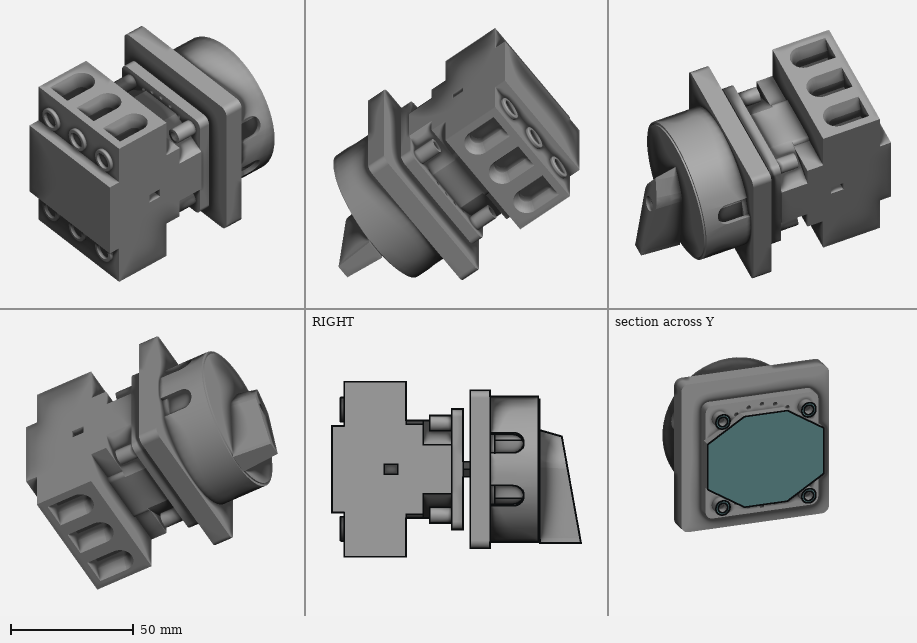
import cadquery as cq
import math


BLOCK_WIDTH = 51.1
BLOCK_HEIGHT = 71.7
COVER_HEIGHT = 35.6
COVER_DEPTH = 5.0
BLOCK_BACK = 30.4
SHELF_BACK = 37.5
NECK_BACK = 49.0
SHELF_HEIGHT = 36.8
NECK_HEIGHT = 40.0
NECK_TOP_WIDTH = 19.3
NECK_EDGE_RADIUS = 1.9
BEVEL_TOP_WIDTH = 18.9
BEVEL_SIDE_HEIGHT = 20.1

TERMINAL_PITCH = 16.7
TERMINAL_Z = 24.4
SCREW_RING_DIAMETER = 10.0
SCREW_RING_PROUD = 1.5
SCREW_RING_ROUND = 0.5
SCREW_RECESS_DIAMETER = 7.0
SCREW_RECESS_DEPTH = 1.5
POCKET_BOTTOM_Y = 8.3
POCKET_ARC_Y = 20.5
POCKET_WIDTH = 11.0
POCKET_INNER_WIDTH = 6.3
POCKET_TAPER_DEPTH = 5.7
POCKET_DEPTH = 10.2

WINDOW_Y = 24.2
WINDOW_LENGTH = 5.6
WINDOW_HEIGHT = 4.1
WINDOW_DEPTH = 5.1

PLATE_SIZE = 49.5
PLATE_THICKNESS = 4.8
PLATE_BACK = NECK_BACK + PLATE_THICKNESS
CORNER_RADIUS = 3.2
PIN_DIAMETER = 6.4
PIN_LENGTH = 9.0
PIN_OFFSET = 18.9
PIN_BORE_DIAMETER = 4.0
INDEX_HOLE_DIAMETER = 1.9
INDEX_HOLE_DEPTH = 2.0
INDEX_CIRCLE_RADIUS = 22.5
INDEX_STEP_ANGLE = 15
INDEX_STEPS_EACH_SIDE = 2

SHAFT_DIAMETER = 7.1
FLANGE_FRONT = 56.6

FLANGE_SIZE = 64.9
FLANGE_BACK = 64.8
DRUM_DIAMETER = 59.8
DRUM_BACK = 84.6
DISC_DIAMETER = 57.5
DISC_BACK = 85.2
DRUM_WALL = 2.0
CAVITY_FRONT = 66.7
CAVITY_BACK = 81.1
HUB_SIZE = 49.0
HUB_FLAT_HEIGHT = 23.9
LOCK_SLOT_WIDTH = 9.0
LOCK_SLOT_END = 78.6
LOCK_SLOT_ANGLE = 21.5

HANDLE_BACK = 102.1
HANDLE_TAIL_Z = -30.2
HANDLE_TAIL_FLAT = 2.0
HANDLE_WIDEST_Z = 3.3
HANDLE_TIP_Y = 94.2
HANDLE_TIP_Z = 13.5
HANDLE_BASE_OUTLINE = (4.4, 6.5, 17.4)
HANDLE_TOP_OUTLINE = (3.1, 5.2, 10.1)
HANDLE_SIDE_ROUND = 9.7
SELECTION_MARGIN = 0.5
NOSE_BASE_Z = 16.0
NOSE_TOP_Z = 11.2
NOSE_HALF_ANGLE = 34
DISH_DIAMETER = 6.4
DISH_Z = -2.0
DISH_DEPTH = 2.0


def xz_plane(y):
    """Sketch plane facing -Y at the given y: local x is X, local y is Z, extrusion runs towards -Y."""
    return cq.Workplane("XZ", origin=(0, y, 0))


def slab(width, height, front, back):
    return xz_plane(back).rect(width, height).extrude(back - front)


def disc(diameter, front, back):
    return xz_plane(back).circle(diameter / 2).extrude(back - front)


def rounded_slab(size, front, back):
    return slab(size, size, front, back).edges("|Y").fillet(CORNER_RADIUS)


def make_neck():
    """Neck behind the block: a bevelled section next to the plate and a rounded shelf."""
    half_width = BLOCK_WIDTH / 2
    half_side = BEVEL_SIDE_HEIGHT / 2
    half_top = BEVEL_TOP_WIDTH / 2
    half_height = NECK_HEIGHT / 2
    bevelled = (
        xz_plane(NECK_BACK)
        .polyline([
            (-half_width, -half_side),
            (-half_top, -half_height),
            (half_top, -half_height),
            (half_width, -half_side),
            (half_width, half_side),
            (half_top, half_height),
            (-half_top, half_height),
            (-half_width, half_side),
        ])
        .close()
        .extrude(NECK_BACK - SHELF_BACK)
    )
    shelf = slab(BLOCK_WIDTH, SHELF_HEIGHT, BLOCK_BACK, SHELF_BACK)
    ridge_width = NECK_TOP_WIDTH + 2 * NECK_EDGE_RADIUS
    ridge = slab(ridge_width, NECK_HEIGHT, BLOCK_BACK, SHELF_BACK).edges("|Y").fillet(NECK_EDGE_RADIUS)
    return bevelled.union(shelf).union(ridge)


def pocket_outline(plane, width):
    """Straight-sided pocket mouth with a round end towards +Y."""
    half = width / 2
    return (
        plane.moveTo(-half, POCKET_BOTTOM_Y)
        .lineTo(half, POCKET_BOTTOM_Y)
        .lineTo(half, POCKET_ARC_Y)
        .threePointArc((0, POCKET_ARC_Y + half), (-half, POCKET_ARC_Y))
        .close()
    )


def make_pocket(x):
    """Wire entry in the top face: a tapered mouth over a straight pocket."""
    mouth_plane = cq.Workplane("XY", origin=(x, 0, BLOCK_HEIGHT / 2))
    mouth = pocket_outline(mouth_plane, POCKET_WIDTH)
    throat_plane = mouth.workplane(offset=-POCKET_TAPER_DEPTH, origin=(x, 0, BLOCK_HEIGHT / 2))
    funnel = pocket_outline(throat_plane, POCKET_INNER_WIDTH).loft(ruled=True)
    well = pocket_outline(mouth_plane, POCKET_INNER_WIDTH).extrude(-POCKET_DEPTH)
    return funnel.union(well)


def make_screw_ring():
    """Screw collar standing proud of the block front, before its recess is cut."""
    ring = disc(SCREW_RING_DIAMETER, COVER_DEPTH - SCREW_RING_PROUD, COVER_DEPTH)
    return ring.faces("<Y").edges().fillet(SCREW_RING_ROUND)


def make_block():
    block = slab(BLOCK_WIDTH, BLOCK_HEIGHT, COVER_DEPTH, BLOCK_BACK)
    block = block.union(slab(BLOCK_WIDTH, COVER_HEIGHT, 0, COVER_DEPTH)).union(make_neck())

    ring = make_screw_ring()
    ring_front = COVER_DEPTH - SCREW_RING_PROUD
    recess = disc(SCREW_RECESS_DIAMETER, ring_front, ring_front + SCREW_RECESS_DEPTH)
    for x in (-TERMINAL_PITCH, 0, TERMINAL_PITCH):
        pocket = make_pocket(x)
        block = block.cut(pocket).cut(pocket.mirror("XY"))
        for z in (-TERMINAL_Z, TERMINAL_Z):
            block = block.union(ring.translate((x, 0, z))).cut(recess.translate((x, 0, z)))

    window = cq.Workplane("XY").box(2 * WINDOW_DEPTH, WINDOW_LENGTH, WINDOW_HEIGHT)
    for x in (-BLOCK_WIDTH / 2, BLOCK_WIDTH / 2):
        block = block.cut(window.translate((x, WINDOW_Y, 0)))
    return block


def make_plate():
    plate = rounded_slab(PLATE_SIZE, NECK_BACK, PLATE_BACK)
    pin_front = NECK_BACK - PIN_LENGTH
    pin = disc(PIN_DIAMETER, pin_front, NECK_BACK).cut(disc(PIN_BORE_DIAMETER, pin_front, NECK_BACK))
    for x in (-PIN_OFFSET, PIN_OFFSET):
        for z in (-PIN_OFFSET, PIN_OFFSET):
            plate = plate.union(pin.translate((x, 0, z)))

    hole = disc(INDEX_HOLE_DIAMETER, NECK_BACK, NECK_BACK + INDEX_HOLE_DEPTH)
    for step in range(-INDEX_STEPS_EACH_SIDE, INDEX_STEPS_EACH_SIDE + 1):
        angle = math.radians(step * INDEX_STEP_ANGLE)
        x = INDEX_CIRCLE_RADIUS * math.sin(angle)
        z = INDEX_CIRCLE_RADIUS * math.cos(angle)
        plate = plate.cut(hole.translate((x, 0, z))).cut(hole.translate((x, 0, -z)))
    return plate


def make_lock_slot(angle):
    """Radial slot through the drum wall, open to the flange, angle measured from +X towards +Z."""
    half = LOCK_SLOT_WIDTH / 2
    slot = (
        cq.Workplane("YZ")
        .moveTo(FLANGE_BACK, -half)
        .lineTo(LOCK_SLOT_END - half, -half)
        .threePointArc((LOCK_SLOT_END, 0), (LOCK_SLOT_END - half, half))
        .lineTo(FLANGE_BACK, half)
        .close()
        .extrude(DRUM_DIAMETER)
    )
    core = disc(DRUM_DIAMETER - 2 * DRUM_WALL, FLANGE_BACK, DRUM_BACK)
    return slot.rotate((0, 0, 0), (0, 1, 0), -angle).cut(core)


def make_drum():
    """Flange and drum; padlock slots open into a cavity around a hub with bevelled corners."""
    drum = rounded_slab(FLANGE_SIZE, FLANGE_FRONT, FLANGE_BACK)
    drum = drum.union(disc(DRUM_DIAMETER, FLANGE_BACK, DRUM_BACK))
    drum = drum.union(disc(DISC_DIAMETER, DRUM_BACK, DISC_BACK))
    cavity = disc(DRUM_DIAMETER - 2 * DRUM_WALL, CAVITY_FRONT, CAVITY_BACK)
    hub = slab(HUB_SIZE, HUB_SIZE, CAVITY_FRONT, CAVITY_BACK)
    hub = hub.edges("|Y").chamfer((HUB_SIZE - HUB_FLAT_HEIGHT) / 2)
    drum = drum.cut(cavity.cut(hub))
    for angle in (-LOCK_SLOT_ANGLE, LOCK_SLOT_ANGLE, 180 - LOCK_SLOT_ANGLE):
        drum = drum.cut(make_lock_slot(angle))
    return drum


def handle_outline(plane, tail_half, widest_half, tip_z):
    """Pointer outline: flat tail, sides spreading to the widest place, then a pointed tip."""
    flat_end_z = HANDLE_TAIL_Z + HANDLE_TAIL_FLAT
    return plane.polyline([
        (-tail_half, HANDLE_TAIL_Z),
        (tail_half, HANDLE_TAIL_Z),
        (tail_half, flat_end_z),
        (widest_half, HANDLE_WIDEST_Z),
        (0, tip_z),
        (-widest_half, HANDLE_WIDEST_Z),
        (-tail_half, flat_end_z),
    ]).close()


def nose_outline(plane, tip_z):
    """Triangle pointing to +Z that is long enough to enclose the whole handle."""
    half_width = FLANGE_SIZE * math.tan(math.radians(NOSE_HALF_ANGLE))
    tail_z = tip_z - FLANGE_SIZE
    return plane.polyline([(-half_width, tail_z), (half_width, tail_z), (0, tip_z)]).close()


def make_nose():
    """Leaning wedge whose two front faces blunt the handle tip near the disc."""
    base = nose_outline(xz_plane(DISC_BACK), NOSE_BASE_Z)
    top_plane = base.workplane(offset=DISC_BACK - HANDLE_BACK, origin=(0, DISC_BACK, 0))
    return nose_outline(top_plane, NOSE_TOP_Z).loft(ruled=True)


def make_handle():
    """Tapering pointer handle whose back slopes from the tail down to the tip."""
    base = handle_outline(xz_plane(DISC_BACK), *HANDLE_BASE_OUTLINE)
    top_plane = base.workplane(offset=DISC_BACK - HANDLE_BACK, origin=(0, DISC_BACK, 0))
    handle = handle_outline(top_plane, *HANDLE_TOP_OUTLINE).loft(ruled=True)

    side_corners = cq.selectors.BoxSelector(
        (-DRUM_DIAMETER, DISC_BACK, HANDLE_WIDEST_Z - SELECTION_MARGIN),
        (DRUM_DIAMETER, HANDLE_BACK, HANDLE_WIDEST_Z + SELECTION_MARGIN),
    )
    handle = handle.edges(side_corners).fillet(HANDLE_SIDE_ROUND)
    handle = handle.intersect(make_nose())

    slope = (HANDLE_TIP_Y - HANDLE_BACK) / (HANDLE_TIP_Z - HANDLE_TAIL_Z)
    far_z = FLANGE_SIZE
    waste = (
        cq.Workplane("YZ")
        .polyline([
            (HANDLE_BACK, HANDLE_TAIL_Z),
            (HANDLE_BACK + slope * (far_z - HANDLE_TAIL_Z), far_z),
            (HANDLE_BACK, far_z),
        ])
        .close()
        .extrude(DRUM_DIAMETER / 2, both=True)
    )
    dish_y = HANDLE_BACK + slope * (DISH_Z - HANDLE_TAIL_Z)
    dish = disc(DISH_DIAMETER, dish_y - DISH_DEPTH, HANDLE_BACK).translate((0, 0, DISH_Z))
    return handle.cut(waste).cut(dish)


shaft = xz_plane(FLANGE_FRONT).polygon(6, SHAFT_DIAMETER).extrude(FLANGE_FRONT - PLATE_BACK)

result = make_block().union(make_plate()).union(shaft).union(make_drum()).union(make_handle())